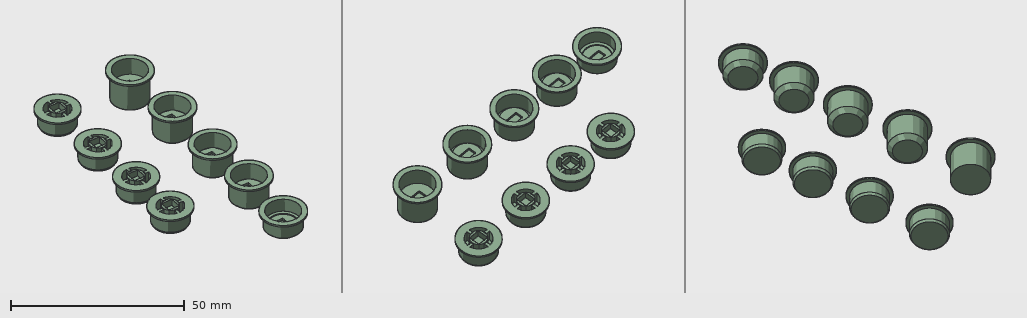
import cadquery as cq

total_length = 90.9
total_depth = 38.7

flange_thickness = 0.6

cup_flange_dia = 14.1
cup_body_dia = 11.6
cup_bore_dia = 10.6
cup_foot_dia = 8.6
cup_foot_height = 1.4
pad_dia = cup_foot_dia
pad_top_depth = 4.7
key_length = 4.3
key_width = 2.6
key_depth = 0.7

tall_height = 10.2
medium_height = 9.1
short_height = 6.9
deep_bore = 5.7
shallow_bore = 4.4

plug_flange_dia = 13.6
plug_body_dia = 11.55
plug_foot_dia = 10.6
plug_foot_height = 0.8
plug_bottom_z = 0.55
plug_height = 6.1
hub_dia = 5.4
hub_rise = 0.3
socket_size = 3.6
socket_depth = 2.2
ring_slot_dia = 8.3
ring_slot_depth = 3.6
rib_width = 1.0

first_plug_x = 0.0
last_cup_x = total_length - (plug_flange_dia + cup_flange_dia) / 2
plug_row_y = 0.0
cup_row_y = total_depth - (plug_flange_dia + cup_flange_dia) / 2

cups = [
    (1.0, tall_height, deep_bore, False),
    (22.1, tall_height, deep_bore, True),
    (42.0, medium_height, deep_bore, True),
    (60.0, medium_height, deep_bore, True),
    (last_cup_x, short_height, shallow_bore, True),
]
plug_xs = [first_plug_x, 20.0, 39.0, 56.0]


def disc(diameter, bottom_z, height):
    return cq.Workplane("XY").workplane(offset=bottom_z).circle(diameter / 2).extrude(height)


def block(length, width, bottom_z, height):
    return cq.Workplane("XY").workplane(offset=bottom_z).rect(length, width).extrude(height)


def flanged_body(body_dia, foot_dia, foot_height, flange_dia, height):
    """Round body on a tapering foot, with a flange flush with its top."""
    outline = [
        (0, 0),
        (foot_dia / 2, 0),
        (body_dia / 2, foot_height),
        (body_dia / 2, height - flange_thickness),
        (flange_dia / 2, height - flange_thickness),
        (flange_dia / 2, height),
        (0, height),
    ]
    return cq.Workplane("XZ").polyline(outline).close().revolve(360, (0, 0), (0, 1))


def add_pad(cup, height, bore_depth):
    """Bring the middle of the bore floor to the pad level, raised or sunk."""
    pad_top_z = height - pad_top_depth
    floor_z = height - bore_depth
    if pad_top_z > floor_z:
        return cup.union(disc(pad_dia, floor_z, pad_top_z - floor_z))
    return cup.cut(disc(pad_dia, pad_top_z, floor_z - pad_top_z))


def make_cup(height, bore_depth, is_tapered):
    foot_dia = cup_foot_dia if is_tapered else cup_body_dia
    cup = flanged_body(cup_body_dia, foot_dia, cup_foot_height, cup_flange_dia, height)
    cup = cup.cut(disc(cup_bore_dia, height - bore_depth, bore_depth))
    if is_tapered:
        cup = add_pad(cup, height, bore_depth)
    key_top_z = height - (pad_top_depth if is_tapered else bore_depth)
    return cup.cut(block(key_length, key_width, key_top_z - key_depth, key_depth))


def ring_slots():
    """Four arc-shaped slots around the hub, parted by ribs along X and Y."""
    floor_z = plug_height - ring_slot_depth
    slots = disc(ring_slot_dia, floor_z, ring_slot_depth)
    slots = slots.cut(disc(hub_dia, floor_z, ring_slot_depth))
    slots = slots.cut(block(ring_slot_dia, rib_width, floor_z, ring_slot_depth))
    return slots.cut(block(rib_width, ring_slot_dia, floor_z, ring_slot_depth))


def make_plug():
    plug = flanged_body(plug_body_dia, plug_foot_dia, plug_foot_height, plug_flange_dia, plug_height)
    plug = plug.cut(ring_slots()).union(disc(hub_dia, plug_height, hub_rise))
    socket_floor_z = plug_height + hub_rise - socket_depth
    return plug.cut(block(socket_size, socket_size, socket_floor_z, socket_depth))


cup_bodies = [
    make_cup(height, bore_depth, is_tapered).translate((x, cup_row_y, 0)).val()
    for x, height, bore_depth, is_tapered in cups
]
plug_bodies = [make_plug().translate((x, plug_row_y, plug_bottom_z)).val() for x in plug_xs]

result = cq.Compound.makeCompound([*cup_bodies, *plug_bodies])